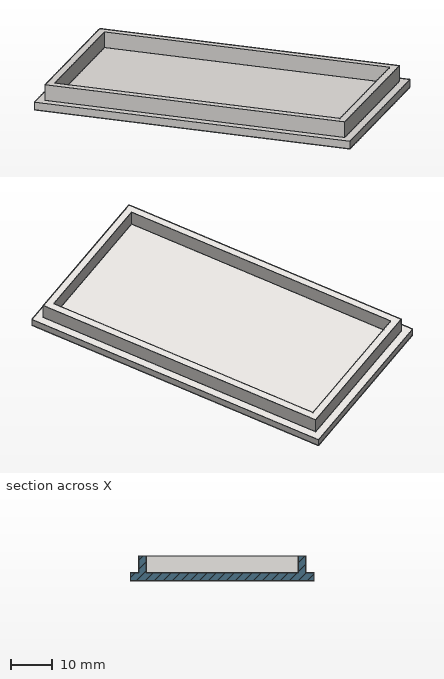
import cadquery as cq

length = 80.0
width = 44.0
plate_thickness = 2.0

total_height = 6.0
rim_inset = 2.0
rim_wall = 1.8

rim_height = total_height - plate_thickness
rim_length = length - 2 * rim_inset
rim_width = width - 2 * rim_inset


def make_plate():
    """Flat rectangular plate resting on Z = 0."""
    return cq.Workplane("XY").rect(length, width).extrude(plate_thickness)


def make_rim():
    """Rectangular wall standing on the plate, open in the middle."""
    return (
        cq.Workplane("XY")
        .workplane(offset=plate_thickness)
        .rect(rim_length, rim_width)
        .rect(rim_length - 2 * rim_wall, rim_width - 2 * rim_wall)
        .extrude(rim_height)
    )


result = make_plate().union(make_rim())